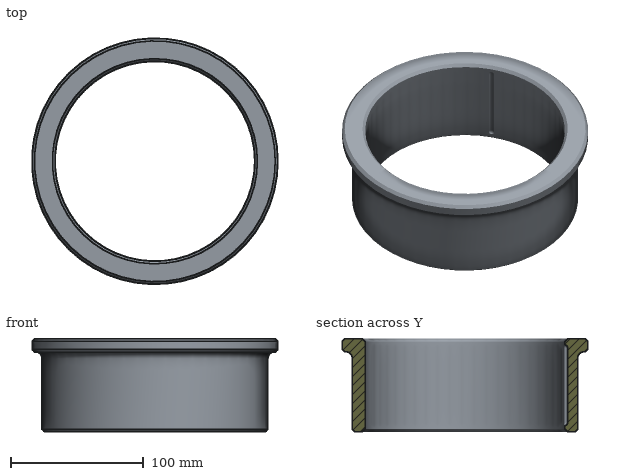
import cadquery as cq

flange_diameter = 185.0
body_diameter = 170.0
bore_diameter = 150.0
height = 70.0
flange_thickness = 10.0
edge_chamfer = 2.0
neck_fillet = 4.5

groove_width = 4.0
groove_length = 60.3
groove_center_height = height / 2


def make_ring():
    """Flanged sleeve with chamfered rims at the bore, body and flange, and a fillet under the flange."""
    flange_radius = flange_diameter / 2
    body_radius = body_diameter / 2
    bore_radius = bore_diameter / 2
    flange_bottom = height - flange_thickness
    return (
        cq.Workplane("XZ")
        .moveTo(bore_radius + edge_chamfer, 0)
        .lineTo(body_radius - edge_chamfer, 0)
        .lineTo(body_radius, edge_chamfer)
        .lineTo(body_radius, flange_bottom - neck_fillet)
        .radiusArc((body_radius + neck_fillet, flange_bottom), neck_fillet)
        .lineTo(flange_radius - edge_chamfer, flange_bottom)
        .lineTo(flange_radius, flange_bottom + edge_chamfer)
        .lineTo(flange_radius, height - edge_chamfer)
        .lineTo(flange_radius - edge_chamfer, height)
        .lineTo(bore_radius + edge_chamfer, height)
        .lineTo(bore_radius, height - edge_chamfer)
        .lineTo(bore_radius, edge_chamfer)
        .close()
        .revolve(360, (0, 0, 0), (0, 1, 0))
    )


def make_groove():
    """Vertical round-bottomed groove with ball ends, centred on the bore surface."""
    groove_radius = groove_width / 2
    straight_length = groove_length - groove_width
    lower_end = groove_center_height - straight_length / 2
    groove = (
        cq.Workplane("XY", origin=(bore_diameter / 2, 0, lower_end))
        .circle(groove_radius)
        .extrude(straight_length)
    )
    for end_height in (lower_end, lower_end + straight_length):
        ball = cq.Workplane("XY", origin=(bore_diameter / 2, 0, end_height)).sphere(groove_radius)
        groove = groove.union(ball)
    return groove



result = make_ring().cut(make_groove())